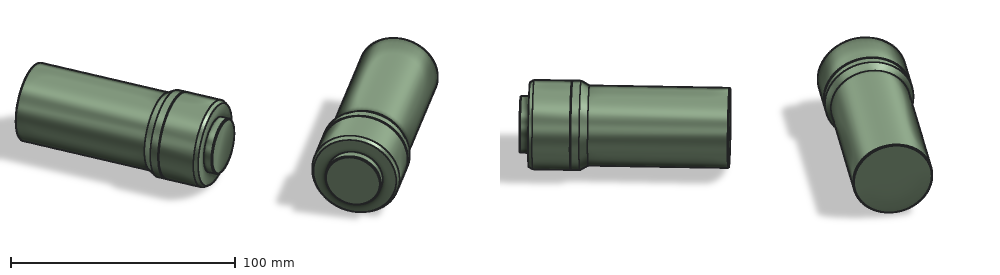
import cadquery as cq

total_length = 93.4
body_length = 62.8
flare_length = 3.7
rear_collar_length = 3.7
groove_width = 0.5
spigot_length = 4.1
head_chamfer_length = 1.9

body_diameter = 35.9
collar_diameter = 40.0
spigot_diameter = 25.4
groove_depth = 0.3
head_chamfer_depth = 1.1
edge_chamfer = 0.5

start = -total_length / 2
body_end = start + body_length
flare_end = body_end + flare_length
groove_start = flare_end + rear_collar_length
groove_middle = groove_start + groove_width / 2
groove_end = groove_start + groove_width
end = total_length / 2
head_end = end - spigot_length

body_radius = body_diameter / 2
collar_radius = collar_diameter / 2
spigot_radius = spigot_diameter / 2
groove_radius = collar_radius - groove_depth

profile = [
    (start, 0),
    (start, body_radius - edge_chamfer),
    (start + edge_chamfer, body_radius),
    (body_end, body_radius),
    (flare_end, collar_radius),
    (groove_start, collar_radius),
    (groove_middle, groove_radius),
    (groove_end, collar_radius),
    (head_end - head_chamfer_length, collar_radius),
    (head_end, collar_radius - head_chamfer_depth),
    (head_end, spigot_radius),
    (end - edge_chamfer, spigot_radius),
    (end, spigot_radius - edge_chamfer),
    (end, 0),
]

result = cq.Workplane("XZ").polyline(profile).close().revolve(360, (0, 0, 0), (1, 0, 0))